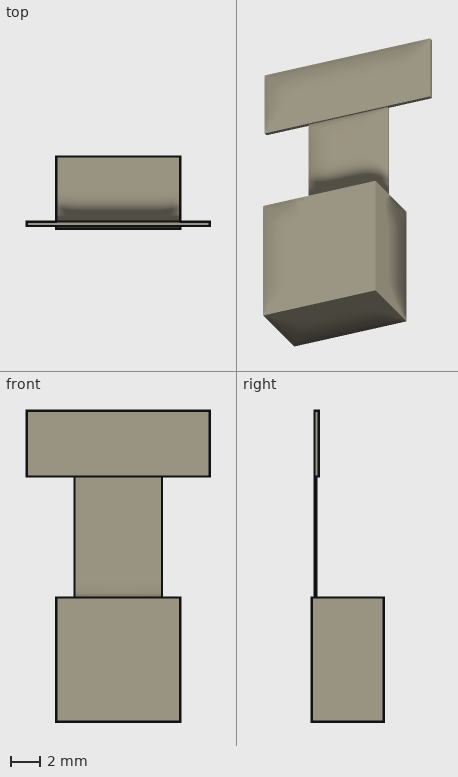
import cadquery as cq

housing_width = 8.5
housing_depth = 4.95
housing_height = 8.5

strip_width = 6.0
strip_thickness = 0.15
strip_height = 8.25

plate_width = 12.5
plate_thickness = 0.3
plate_height = 4.5

front_setback = 0.2


def block(width, depth, height, front_y, bottom_z):
    """Rectangular block centred on X, running back (+Y) and up (+Z) from the given planes."""
    return (
        cq.Workplane("XY")
        .box(width, depth, height, centered=(True, False, False))
        .translate((0, front_y, bottom_z))
    )


def make_housing():
    return block(housing_width, housing_depth, housing_height, 0, 0)


def make_strip():
    return block(strip_width, strip_thickness, strip_height, front_setback, housing_height)


def make_plate():
    plate_bottom = housing_height + strip_height
    return block(plate_width, plate_thickness, plate_height, front_setback, plate_bottom)


housing = make_housing()
strip = make_strip()
plate = make_plate()

result = cq.Compound.makeCompound([housing.val(), strip.val(), plate.val()])